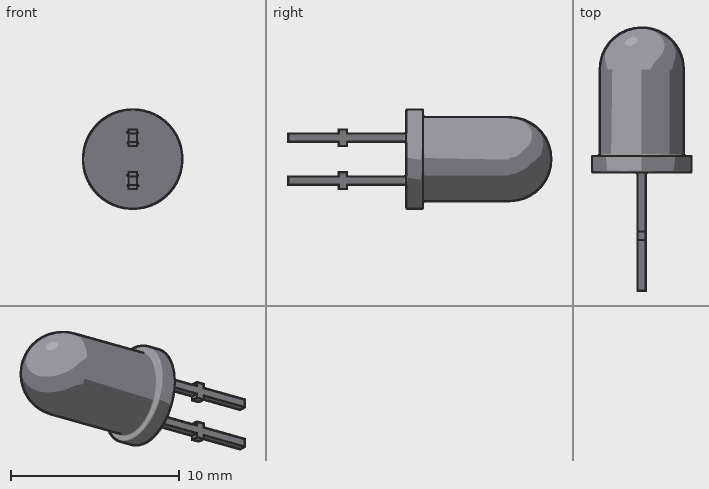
import cadquery as cq
import math

body_radius = 2.5
barrel_length = 5.1
flange_radius = 2.95
flange_thickness = 1.0
edge_fillet = 0.1

lead_width = 0.5
lead_length = 7.0
lead_pitch = 2.54
tab_height = 1.0
tab_length = 0.5
tab_distance = 3.5

dome_start = flange_thickness + barrel_length
dome_tip = dome_start + body_radius


def lens_profile():
    """Half section in the XY plane, closed along the Y axis."""
    diagonal = body_radius * math.sin(math.radians(45))
    return (
        cq.Workplane("XY")
        .lineTo(flange_radius, 0)
        .lineTo(flange_radius, flange_thickness)
        .lineTo(body_radius, flange_thickness)
        .lineTo(body_radius, dome_start)
        .threePointArc((diagonal, dome_start + diagonal), (0, dome_tip))
        .close()
    )


def make_lens():
    """Revolved lens with rounded flange rims and a rounded flange-to-barrel corner."""
    lens = lens_profile().revolve(360, (0, 0, 0), (0, 1, 0))
    reach = flange_radius + edge_fillet
    flange_zone = cq.selectors.BoxSelector(
        (-reach, -edge_fillet, -reach),
        (reach, flange_thickness + edge_fillet, reach),
        boundingbox=True,
    )
    return lens.edges(flange_zone).edges("%CIRCLE").fillet(edge_fillet)


def box_behind_flange(height, start, length, z):
    """Lead-wide box centred at height z, running toward -Y from Y = -start."""
    return cq.Workplane("XY").box(lead_width, length, height).translate((0, -start - length / 2, z))


def add_lead(part, z):
    """Join a lead to the flange, fillet its root and add the stop tab."""
    part = part.union(box_behind_flange(lead_width, 0, lead_length, z))
    root_zone = cq.selectors.BoxSelector(
        (-lead_width, -edge_fillet, z - lead_width),
        (lead_width, edge_fillet, z + lead_width),
        boundingbox=True,
    )
    part = part.edges(root_zone).fillet(edge_fillet)
    return part.union(box_behind_flange(tab_height, tab_distance, tab_length, z))


result = make_lens()
for side in (-1, 1):
    result = add_lead(result, side * lead_pitch / 2)